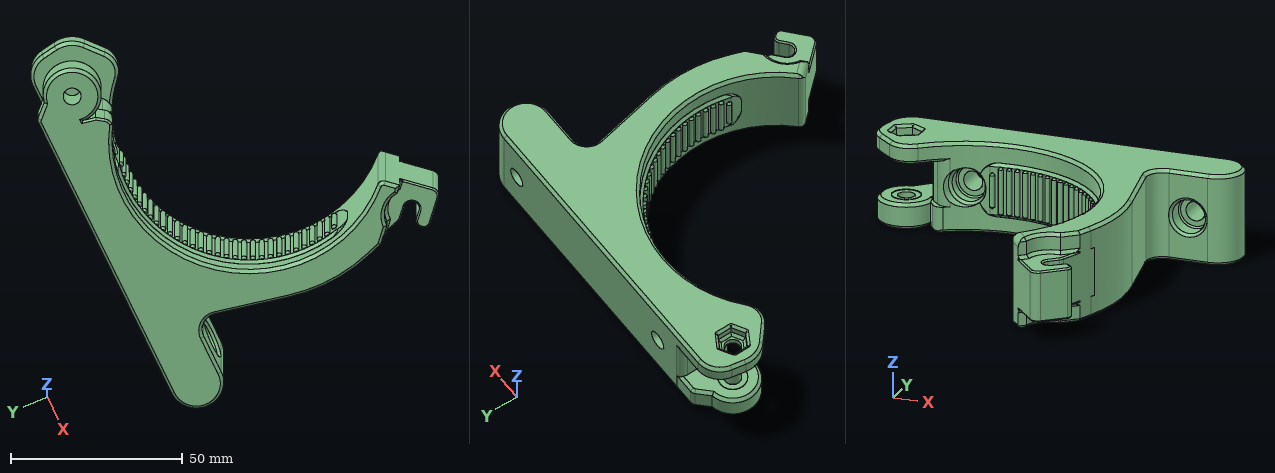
import cadquery as cq
import math


HEIGHT = 28.0
TOP = HEIGHT / 2
EDGE_CHAMFER = 1.0
BORE_RADIUS = 40.0
ARM_RADIUS = 50.0
BACK_Y = 53.5
BAR_END_RADIUS = 8.0
BAR_RIGHT_X = 69.75
BAR_FRONT_Y = BACK_Y - 2 * BAR_END_RADIUS
BAR_FILLET = 5.0
ARM_UPPER_TANGENT = 11.3
ARM_LOWER_TANGENT = -20.0

PIVOT_X = -34.5
PIVOT_Y = 40.92
PIVOT_HOLE_DIAMETER = 5.2
UPPER_LUG_RADIUS = 8.83
UPPER_LUG_FLANK_ANGLE = 229.0
HEEL_RADIUS = 6.7
LOWER_LUG_RADIUS = 8.5
SLOT_TOP = 8.0
SLOT_BOTTOM = -6.0
SLOT_WALL_X = -26.2
SLOT_CORNER_FILLET = 2.2
TONGUE_SIDE_OFFSET = 6.9
TONGUE_CORNER_RADIUS = 2.0
SLOT_POST = ((SLOT_WALL_X, 41.3), (-25.0, 38.6), (-22.9, 36.5), (-18.6, 35.41))
LOWER_POST = ((SLOT_WALL_X, 41.3), (-25.5, 37.5), (-24.0, 35.3), (-20.4, 34.41))
LUG_ROOT = 2.0
POST_CHAMFER = 0.6
SEAT_DIAMETER = 8.8
SEAT_DEPTH = 0.2
NUT_ACROSS_FLATS = 8.1
NUT_DEPTH = 4.0
NUT_CHAMFER = 0.85

SCREW_XS = (-14.5, 55.5)
SCREW_DIAMETER = 6.0
SCREW_HEAD_DIAMETER = 10.4
SCREW_SEAT_Y = 43.5
SCREW_CHAMFER = 0.85
SCREW_SEAT_CHAMFER = 0.5
SCREW_REACH_Y = 25.0

HOOK_X = 40.87
HOOK_Y = -33.48
HOOK_ANGLE = 41.5
HOOK_HALF_HEIGHT = 7.9
HOOK_CHAMFER = 0.5
HOOK_SIDE_U = -7.85
HOOK_BASE_V = -6.57
HOOK_TIP_U = 4.8
HOOK_SLOT_RADIUS = 2.2
HOOK_TIP_FILLET = 1.9
HOOK_LIP_FILLET = 3.0
HOOK_CORNER_FILLET = 2.5
HOOK_ROOT_V = 9.0
RELIEF_RADIUS = 8.0
RELIEF_V = 6.0
RELIEF_FLOOR_CHAMFER = 1.0
ARM_CORNER_RADIUS = 1.8
ARM_END_ROUND = 2.5

GRIP_MID_ANGLE = 42.2
GRIP_MID_Z = -0.3
PAD_HALF_SPAN = 63.3
PAD_HALF_HEIGHT = 8.4
PAD_THICKNESS = 1.0
PAD_CORNER_RADIUS = 6.0
PAD_SLOPE = 0.95
PAD_RAMP_SPAN = 5.0
RIB_COUNT = 31
RIB_PITCH = 3.82
RIB_RADIUS = 0.8
RIB_CREST_RADIUS = 38.0
RIB_HALF_HEIGHT = 7.6
END_RIB_HALF_HEIGHT = 5.6
RIB_TIP_TAPER = 0.7

TOLERANCE = 0.05
OVERLAP = 1.0
REACH = 60.0


def polar(radius, angle, centre=(0.0, 0.0)):
    """Point at a radius and angle from a centre."""
    a = math.radians(angle)
    return (centre[0] + radius * math.cos(a), centre[1] + radius * math.sin(a))


def angle_of(point):
    """Direction of a point seen from the bore axis."""
    return math.degrees(math.atan2(point[1], point[0]))


def line_to_bore_circle(start, angle, radius):
    """Point where a directed line enters a circle about the bore axis."""
    d = polar(1.0, angle)
    along = start[0] * d[0] + start[1] * d[1]
    offset_squared = start[0] ** 2 + start[1] ** 2 - along ** 2
    return polar(-along - math.sqrt(radius ** 2 - offset_squared), angle, start)


def meet(p, p_angle, q, q_angle):
    """Crossing point of two lines, each given by a point and a direction angle."""
    pd = polar(1.0, p_angle)
    qd = polar(1.0, q_angle)
    det = pd[0] * qd[1] - pd[1] * qd[0]
    t = ((q[0] - p[0]) * qd[1] - (q[1] - p[1]) * qd[0]) / det
    return (p[0] + t * pd[0], p[1] + t * pd[1])


def hook_point(u, v):
    """Turn hook coordinates into part coordinates."""
    return polar(v, HOOK_ANGLE + 90, polar(u, HOOK_ANGLE, (HOOK_X, HOOK_Y)))


def hook_place(shape):
    """Move a shape modelled in the hook frame into the part."""
    return shape.rotate((0, 0, 0), (0, 0, 1), HOOK_ANGLE).translate((HOOK_X, HOOK_Y, 0))


def prism(sketch, bottom, top):
    """Extrude an XY outline between two levels."""
    return sketch.extrude(top - bottom).translate((0, 0, bottom))


def disc(radius, x, y, bottom, top):
    """Upright cylinder between two levels."""
    return prism(cq.Workplane("XY").center(x, y).circle(radius), bottom, top)


def body():
    """Back bar, upper lug and curved arm as one plate with broken edges."""
    pivot = (PIVOT_X, PIVOT_Y)
    corner = (PIVOT_X, BACK_Y - BAR_END_RADIUS)
    tilt = math.degrees(math.asin((UPPER_LUG_RADIUS - BAR_END_RADIUS) / (corner[1] - PIVOT_Y)))
    flank_angle = 180 - tilt
    heel_line = polar(UPPER_LUG_RADIUS - HEEL_RADIUS, UPPER_LUG_FLANK_ANGLE, pivot)
    heel = line_to_bore_circle(heel_line, UPPER_LUG_FLANK_ANGLE + 90, BORE_RADIUS + HEEL_RADIUS)
    heel_bore_angle = angle_of(heel)

    arm_upper = polar(ARM_RADIUS, ARM_UPPER_TANGENT)
    arm_lower = polar(ARM_RADIUS, ARM_LOWER_TANGENT)
    inner_corner = meet(arm_upper, ARM_UPPER_TANGENT + 90, (0, BAR_FRONT_Y), 0)
    side_start = hook_point(HOOK_SIDE_U, 0)
    bore_corner = line_to_bore_circle(side_start, HOOK_ANGLE + 90, BORE_RADIUS)
    bore_end_angle = angle_of(bore_corner)
    outer_end = meet(arm_lower, ARM_LOWER_TANGENT + 90, hook_point(0, 0), HOOK_ANGLE)

    bar_end = (BAR_RIGHT_X - BAR_END_RADIUS, BACK_Y - BAR_END_RADIUS)
    outline = (
        cq.Workplane("XY")
        .moveTo(corner[0], BACK_Y)
        .lineTo(bar_end[0], BACK_Y)
        .threePointArc((BAR_RIGHT_X, bar_end[1]), (bar_end[0], BAR_FRONT_Y))
        .lineTo(*inner_corner)
        .lineTo(*arm_upper)
        .threePointArc(polar(ARM_RADIUS, (ARM_UPPER_TANGENT + ARM_LOWER_TANGENT) / 2), arm_lower)
        .lineTo(*outer_end)
        .lineTo(*side_start)
        .lineTo(*bore_corner)
        .threePointArc(
            polar(BORE_RADIUS, (heel_bore_angle + bore_end_angle) / 2),
            polar(BORE_RADIUS, heel_bore_angle),
        )
        .threePointArc(
            polar(HEEL_RADIUS, (UPPER_LUG_FLANK_ANGLE + heel_bore_angle + 180) / 2, heel),
            polar(HEEL_RADIUS, UPPER_LUG_FLANK_ANGLE, heel),
        )
        .lineTo(*polar(UPPER_LUG_RADIUS, UPPER_LUG_FLANK_ANGLE, pivot))
        .threePointArc(
            polar(UPPER_LUG_RADIUS, (UPPER_LUG_FLANK_ANGLE + flank_angle) / 2, pivot),
            polar(UPPER_LUG_RADIUS, flank_angle, pivot),
        )
        .lineTo(*polar(BAR_END_RADIUS, flank_angle, corner))
        .threePointArc(polar(BAR_END_RADIUS, (flank_angle + 90) / 2, corner), (corner[0], BACK_Y))
        .close()
    )
    plate = prism(outline, -TOP, TOP)
    plate = fillet_at(plate, inner_corner, BAR_FILLET)
    plate = fillet_at(plate, bore_corner, ARM_CORNER_RADIUS)
    return plate.faces("<Z or >Z").chamfer(EDGE_CHAMFER)


def fillet_at(shape, point, radius):
    """Round the upright edge that stands at an XY point."""
    edges = shape.edges("|Z").filter(
        lambda e: math.hypot(e.Center().x - point[0], e.Center().y - point[1]) < TOLERANCE
    )
    return shape.newObject(edges.vals()).fillet(radius)


def open_side(corners, bottom, top):
    """Space left of the slot wall and its post, between two levels."""
    wall, flank, nose, bore_end = corners
    bore_end_angle = angle_of(bore_end)
    outline = (
        cq.Workplane("XY")
        .moveTo(PIVOT_X - REACH, BACK_Y + OVERLAP)
        .lineTo(wall[0], BACK_Y + OVERLAP)
        .lineTo(*wall)
        .lineTo(*flank)
        .lineTo(*nose)
        .tangentArcPoint(bore_end, relative=False)
        .lineTo(*polar(BORE_RADIUS - OVERLAP, bore_end_angle))
        .lineTo(bore_end[0], 0)
        .lineTo(PIVOT_X - REACH, 0)
        .close()
    )
    return prism(outline, bottom, top)


def cut_hinge_slot(plate):
    """Open the slot between the lugs, with a small round where its wall meets the back."""
    plate = plate.cut(open_side(SLOT_POST, SLOT_BOTTOM, SLOT_TOP))
    plate = plate.cut(open_side(LOWER_POST, -TOP - OVERLAP, SLOT_BOTTOM))
    foot = plate.faces("<Z").edges().filter(is_post_foot)
    plate = plate.newObject(foot.vals()).chamfer(POST_CHAMFER)
    back_corner = plate.edges("|Z").filter(
        lambda e: abs(e.Center().y - BACK_Y) < TOLERANCE
        and abs(e.Center().x - SLOT_WALL_X) < TOLERANCE
        and SLOT_BOTTOM < e.Center().z < SLOT_TOP
    )
    plate = plate.newObject(back_corner.vals()).fillet(SLOT_CORNER_FILLET)
    underside = plate.faces("|Z").filter(lambda f: abs(f.Center().z - SLOT_TOP) < TOLERANCE)
    rim = underside.edges().filter(is_upper_lug_rim)
    return plate.newObject(rim.vals()).chamfer(EDGE_CHAMFER)


def is_post_foot(edge):
    """True for the bottom edges of the post's flank, nose and rounding."""
    middle = edge.positionAt(0.5)
    return middle.x < LOWER_POST[3][0] and middle.y < LOWER_POST[0][1]


def is_upper_lug_rim(edge):
    """True for the outer edges of the upper lug's underside, short of the slot wall."""
    middle = edge.positionAt(0.5)
    return middle.x < SLOT_WALL_X or abs(math.hypot(middle.x, middle.y) - BORE_RADIUS) < TOLERANCE


def lower_lug():
    """Round lug with a tongue that ties it to the back of the bar."""
    lug = disc(LOWER_LUG_RADIUS, PIVOT_X, PIVOT_Y, -TOP, SLOT_BOTTOM)
    root_x = SLOT_WALL_X + LUG_ROOT
    side_foot = polar(TONGUE_SIDE_OFFSET, 135, (PIVOT_X, PIVOT_Y))
    back_corner = meet(side_foot, 45, (0, BACK_Y), 0)
    tongue = prism(
        cq.Workplane("XY")
        .moveTo(PIVOT_X, PIVOT_Y)
        .lineTo(*side_foot)
        .lineTo(*back_corner)
        .lineTo(root_x, BACK_Y)
        .lineTo(root_x, PIVOT_Y)
        .close(),
        -TOP,
        SLOT_BOTTOM,
    )
    tongue = fillet_at(tongue, back_corner, TONGUE_CORNER_RADIUS)
    return lug.union(tongue).faces("<Z or >Z").chamfer(EDGE_CHAMFER)


def hinge_cutters():
    """Pivot hole, shallow seat on the lower lug and hexagonal nut pocket in the upper lug."""
    hole = disc(PIVOT_HOLE_DIAMETER / 2, PIVOT_X, PIVOT_Y, -TOP - OVERLAP, TOP + OVERLAP)
    seat = disc(SEAT_DIAMETER / 2, PIVOT_X, PIVOT_Y, SLOT_BOTTOM - SEAT_DEPTH, SLOT_BOTTOM + OVERLAP)
    nut = hexagon(NUT_ACROSS_FLATS, TOP - NUT_DEPTH).extrude(NUT_DEPTH).faces("<Z").chamfer(NUT_CHAMFER)
    mouth = hexagon(NUT_ACROSS_FLATS, TOP - NUT_CHAMFER).extrude(NUT_CHAMFER, taper=-45)
    return hole.union(seat).union(nut).union(mouth)


def hexagon(across_flats, level):
    """Hexagon about the pivot with flats facing left and right."""
    corner_diameter = across_flats / math.cos(math.radians(30))
    return (
        cq.Workplane("XY", origin=(PIVOT_X, PIVOT_Y, level))
        .transformed(rotate=(0, 0, 90))
        .polygon(6, corner_diameter)
    )


def screw_cutter(x):
    """Screw hole along Y with a counterbore from the front and a broken mouth edge."""
    mouth_radius = SCREW_HEAD_DIAMETER / 2 + SCREW_CHAMFER
    deepest_x = abs(x) - mouth_radius
    mouth_y = math.sqrt(BORE_RADIUS ** 2 - deepest_x ** 2) if deepest_x < BORE_RADIUS else BAR_FRONT_Y
    front = cq.Workplane("XZ", origin=(x, BACK_Y + OVERLAP, 0))
    hole = front.circle(SCREW_DIAMETER / 2).extrude(REACH)
    seat = cq.Workplane("XZ", origin=(x, SCREW_SEAT_Y, 0))
    head = seat.circle(SCREW_HEAD_DIAMETER / 2).extrude(REACH).faces(">Y").chamfer(SCREW_SEAT_CHAMFER)
    mouth = (
        cq.Workplane("XZ", origin=(x, mouth_y + SCREW_CHAMFER, 0))
        .circle(SCREW_HEAD_DIAMETER / 2)
        .workplane(offset=SCREW_CHAMFER)
        .circle(mouth_radius)
        .loft()
        .faces("<Y")
        .workplane()
        .circle(mouth_radius)
        .extrude(REACH)
    )
    near = cq.Workplane("XY").box(REACH, 2 * (BACK_Y - SCREW_REACH_Y), HEIGHT).translate((x, BACK_Y, 0))
    return hole.union(head).union(mouth).intersect(near)


def relief_cutter():
    """Space above the hook: a round about its slot plus everything beyond the arm's end."""
    height = TOP - HOOK_HALF_HEIGHT
    beyond = cq.Workplane("XY").rect(REACH, REACH).extrude(height).translate((0, RELIEF_V - REACH / 2, 0))
    cutter = cq.Workplane("XY").circle(RELIEF_RADIUS).extrude(height).union(beyond)
    cutter = cutter.faces("<Z").chamfer(RELIEF_FLOOR_CHAMFER)
    return hook_place(cutter.translate((0, 0, HOOK_HALF_HEIGHT)))


def is_relief_rim(edge):
    """True for the edges where the relief breaks out of the arm's top or bottom face."""
    middle = edge.positionAt(0.5)
    from_slot = math.hypot(middle.x - HOOK_X, middle.y - HOOK_Y)
    across = polar(1.0, HOOK_ANGLE + 90)
    v = (middle.x - HOOK_X) * across[0] + (middle.y - HOOK_Y) * across[1]
    return abs(from_slot - RELIEF_RADIUS) < TOLERANCE or abs(v - RELIEF_V) < TOLERANCE


def end_rounding():
    """Waste outside a round along the top edge of the arm's end face."""
    block = cq.Workplane("XZ").rect(2 * ARM_END_ROUND, 2 * ARM_END_ROUND).extrude(-REACH / 2)
    keep = cq.Workplane("XZ").center(ARM_END_ROUND, -ARM_END_ROUND).circle(ARM_END_ROUND).extrude(-REACH / 2)
    return hook_place(block.cut(keep).translate((HOOK_SIDE_U, 0, TOP)))


def hook():
    """Open hook that catches the pin of the mating clamp half."""
    lower_tangent = polar(ARM_RADIUS, ARM_LOWER_TANGENT)
    arm_edge = ARM_LOWER_TANGENT + 90
    lip = meet(lower_tangent, arm_edge, hook_point(0, HOOK_SLOT_RADIUS), HOOK_ANGLE)
    root = meet(lower_tangent, arm_edge, hook_point(0, HOOK_ROOT_V), HOOK_ANGLE)
    tip_lower = hook_point(HOOK_TIP_U, HOOK_BASE_V)
    tip_upper = hook_point(HOOK_TIP_U, -HOOK_SLOT_RADIUS)
    corner = hook_point(HOOK_SIDE_U, HOOK_BASE_V)
    outline = (
        cq.Workplane("XY")
        .moveTo(*hook_point(HOOK_SIDE_U, HOOK_ROOT_V))
        .lineTo(*corner)
        .lineTo(*tip_lower)
        .lineTo(*tip_upper)
        .lineTo(*hook_point(0, -HOOK_SLOT_RADIUS))
        .threePointArc(hook_point(-HOOK_SLOT_RADIUS, 0), hook_point(0, HOOK_SLOT_RADIUS))
        .lineTo(*lip)
        .lineTo(*root)
        .close()
    )
    shape = prism(outline, -HOOK_HALF_HEIGHT, HOOK_HALF_HEIGHT)
    shape = fillet_at(shape, corner, HOOK_CORNER_FILLET)
    shape = fillet_at(shape, tip_lower, HOOK_TIP_FILLET)
    shape = fillet_at(shape, tip_upper, HOOK_TIP_FILLET)
    shape = fillet_at(shape, lip, HOOK_LIP_FILLET)
    return shape.faces("<Z or >Z").chamfer(HOOK_CHAMFER)


def arm_with_hook(plate):
    """Relieve the arm above and below the hook, then add the hook."""
    upper = relief_cutter()
    plate = plate.cut(upper).cut(upper.mirror("XY"))
    middle = hook_place(
        cq.Workplane("XY").rect(REACH, REACH).extrude(2 * HOOK_HALF_HEIGHT)
        .translate((0, RELIEF_V - REACH / 2, -HOOK_HALF_HEIGHT))
    )
    plate = plate.cut(middle)
    outer = plate.faces("<Z or >Z").edges().filter(is_relief_rim)
    plate = plate.newObject(outer.vals()).chamfer(EDGE_CHAMFER)
    return plate.cut(end_rounding()).union(hook())


def bore_sector(profile_inner, inner_half_span):
    """Ring sector of pad height; its ends run from the bore to a narrower inner arc."""
    outer = BORE_RADIUS + OVERLAP
    sector = (
        cq.Workplane("XY")
        .moveTo(*polar(profile_inner, -inner_half_span))
        .threePointArc((profile_inner, 0), polar(profile_inner, inner_half_span))
        .lineTo(*polar(BORE_RADIUS, PAD_HALF_SPAN))
        .lineTo(*polar(outer, PAD_HALF_SPAN))
        .threePointArc((outer, 0), polar(outer, -PAD_HALF_SPAN))
        .lineTo(*polar(BORE_RADIUS, -PAD_HALF_SPAN))
        .close()
    )
    return prism(sector, -PAD_HALF_HEIGHT, PAD_HALF_HEIGHT)


def pad():
    """Raised grip pad with sloped sides, ramped ends and rounded corners."""
    inner = BORE_RADIUS - PAD_THICKNESS
    ramped = bore_sector(inner, PAD_HALF_SPAN - PAD_RAMP_SPAN)
    ramped = ramped.faces(cq.NearestToPointSelector((0, 0, 0))).edges("not |Z").chamfer(PAD_SLOPE)
    rounded = bore_sector(inner - OVERLAP, PAD_HALF_SPAN)
    corners = rounded.edges("#Z").filter(lambda e: e.geomType() == "LINE")
    rounded = rounded.newObject(corners.vals()).fillet(PAD_CORNER_RADIUS)
    return ramped.intersect(rounded)


def rib(index):
    """Round rib along Z with tapered tips; the two end ribs are shorter."""
    is_end = index in (0, RIB_COUNT - 1)
    half = END_RIB_HALF_HEIGHT if is_end else RIB_HALF_HEIGHT
    bar = disc(RIB_RADIUS, RIB_CREST_RADIUS + RIB_RADIUS, 0, -half, half)
    bar = bar.faces("<Z or >Z").chamfer(RIB_TIP_TAPER)
    return bar.rotate((0, 0, 0), (0, 0, 1), RIB_PITCH * (index - (RIB_COUNT - 1) / 2))


def grip():
    """Pad with its row of ribs, turned to the middle of the bore's arc."""
    shape = pad()
    for index in range(RIB_COUNT):
        shape = shape.union(rib(index))
    return shape.rotate((0, 0, 0), (0, 0, 1), GRIP_MID_ANGLE).translate((0, 0, GRIP_MID_Z))


result = cut_hinge_slot(body())
result = arm_with_hook(result)
result = result.union(lower_lug()).union(grip())
result = result.cut(hinge_cutters())
for screw_x in SCREW_XS:
    result = result.cut(screw_cutter(screw_x))